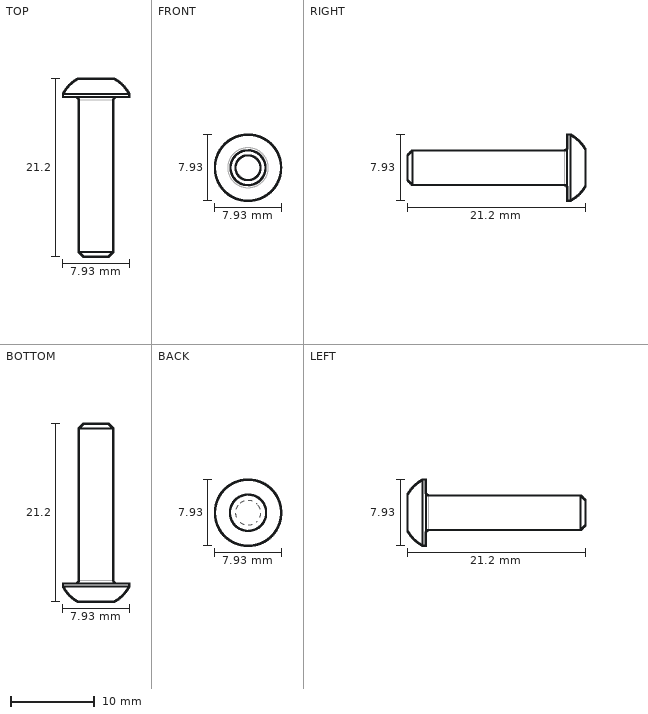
import cadquery as cq
import math

total_length = 21.25
head_height = 2.21
head_radius = 3.965
head_flat_radius = 2.17
rim_height = 0.38
shank_radius = 2.08
tip_chamfer = 0.6
neck_fillet = 0.32

shank_length = total_length - head_height

dome_center_y = (
    head_flat_radius**2 + head_height**2 - head_radius**2 - rim_height**2
) / (2 * (head_height - rim_height))
dome_radius = math.hypot(head_radius, rim_height - dome_center_y)
dome_mid_radius = (head_radius + head_flat_radius) / 2
dome_mid_y = dome_center_y + math.sqrt(dome_radius**2 - dome_mid_radius**2)

neck_mid_offset = neck_fillet * (1 - math.sqrt(0.5))

profile = (
    cq.Workplane("XY")
    .moveTo(0, -shank_length)
    .lineTo(shank_radius - tip_chamfer, -shank_length)
    .lineTo(shank_radius, -shank_length + tip_chamfer)
    .lineTo(shank_radius, -neck_fillet)
    .threePointArc(
        (shank_radius + neck_mid_offset, -neck_mid_offset),
        (shank_radius + neck_fillet, 0),
    )
    .lineTo(head_radius, 0)
    .lineTo(head_radius, rim_height)
    .threePointArc((dome_mid_radius, dome_mid_y), (head_flat_radius, head_height))
    .lineTo(0, head_height)
    .close()
)

result = profile.revolve(360, (0, 0, 0), (0, 1, 0))